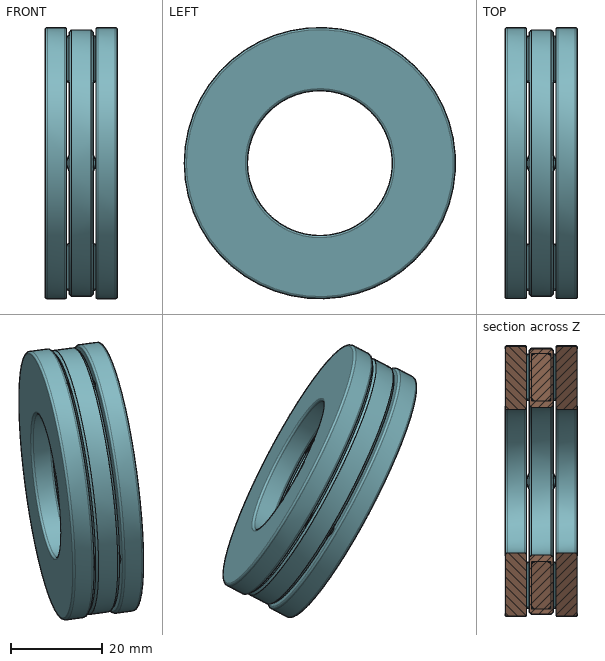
import cadquery as cq

outer_diameter = 59.55
bore_diameter = 31.7
total_width = 15.9
washer_edge_radius = 0.495

roller_count = 4
roller_diameter = 6.35
roller_length = 10.3
roller_edge_radius = 0.5
roller_centre_radius = (outer_diameter + bore_diameter) / 4

cage_outer_diameter = 58.5
cage_bore_diameter = 32.75
cage_width = 5.35
cage_chamfer = 0.55

washer_width = (total_width - roller_diameter) / 2


def plain_ring(outside, inside, width, start_x):
    """Ring along X from start_x, with sharp edges."""
    ring = cq.Workplane("YZ").circle(outside / 2).circle(inside / 2).extrude(width)
    return ring.translate((start_x, 0, 0))


def roller_cylinder(angle):
    """Plain cylinder with a radial axis, turned about X from the +Z direction."""
    inner_end = roller_centre_radius - roller_length / 2
    cylinder = (
        cq.Workplane("XY")
        .workplane(offset=inner_end)
        .circle(roller_diameter / 2)
        .extrude(roller_length)
    )
    return cylinder.rotate((0, 0, 0), (1, 0, 0), angle)


def make_roller(angle):
    """Roller with rounded ends."""
    return roller_cylinder(angle).faces("not %CYLINDER").edges().fillet(roller_edge_radius)


def make_washer(start_x):
    """Flat raceway washer with all four circular edges rounded."""
    washer = plain_ring(outer_diameter, bore_diameter, washer_width, start_x)
    return washer.edges().fillet(washer_edge_radius)


def make_cage(angles):
    """Chamfered ring between the washers, with one closed pocket per roller."""
    cage = plain_ring(cage_outer_diameter, cage_bore_diameter, cage_width, -cage_width / 2)
    cage = cage.edges().chamfer(cage_chamfer)
    for angle in angles:
        cage = cage.cut(roller_cylinder(angle))
    return cage


roller_angles = [i * 360 / roller_count for i in range(roller_count)]

washers = [make_washer(start_x) for start_x in (-total_width / 2, roller_diameter / 2)]
cage = make_cage(roller_angles)
rollers = [make_roller(angle) for angle in roller_angles]

result = cq.Compound.makeCompound(
    [cage.val()]
    + [washer.val() for washer in washers]
    + [roller.val() for roller in rollers]
)